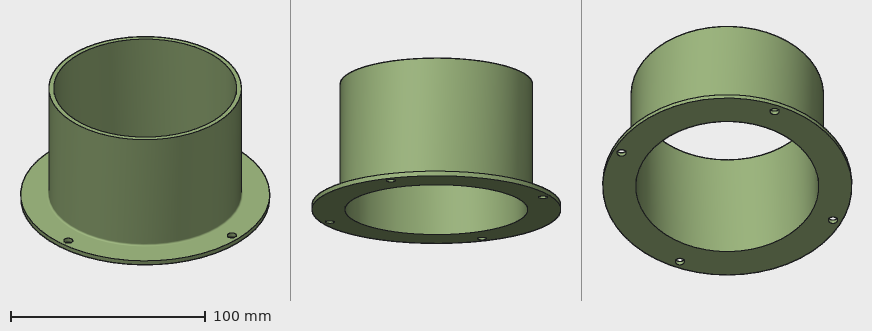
import cadquery as cq

flange_diameter = 128.0
flange_thickness = 2.5
tube_outer_diameter = 99.0
bore_diameter = 94.0
total_height = 67.0
root_fillet_radius = 1.0
hole_diameter = 4.6
hole_circle_diameter = 119.0
hole_count = 4


def flanged_tube():
    """Solid flange and tube, blended by a fillet at the root of the tube."""
    flange = cq.Workplane("XY").circle(flange_diameter / 2).extrude(flange_thickness)
    body = flange.union(cq.Workplane("XY").circle(tube_outer_diameter / 2).extrude(total_height))
    flange_top = body.faces("|Z").faces("<Z[1]")
    tube_root = flange_top.edges(cq.selectors.RadiusNthSelector(0))
    return tube_root.fillet(root_fillet_radius)


def bore():
    """Cylinder that opens the tube along its whole height."""
    return cq.Workplane("XY").circle(bore_diameter / 2).extrude(total_height)


def mounting_holes():
    """Evenly spaced through-holes in the flange, the first on the +X axis."""
    return (
        cq.Workplane("XY")
        .polarArray(hole_circle_diameter / 2, 0, 360, hole_count)
        .circle(hole_diameter / 2)
        .extrude(flange_thickness)
    )


result = flanged_tube().cut(bore()).cut(mounting_holes())